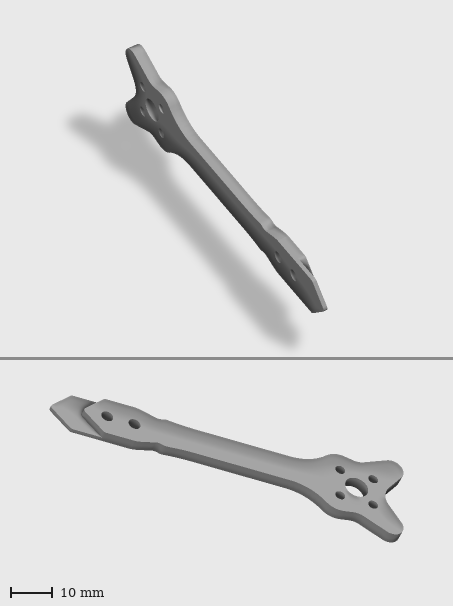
import cadquery as cq
import math

length = 90.4
thickness = 3.0
half_height = 12.2

lobe_radius = 3.0
lobe_outer_angle = 25.5
lobe_inner_angle = 55.5
lobe_middle_angle = 135
crotch_x = 4.7
crotch_radius = 5.0
waist_start = (10.4, 8.95)
waist_middle = (11.75, 8.6)
waist_end = (13.1, 8.7)
bulge_start = (15.3, 9.1)
bulge_middle = (17.8, 9.0)
bulge_end = (19.9, 7.9)
motor_x = 12.1
motor_bore = 6.0
motor_screw_diameter = 2.5
motor_screw_spacing = 8.5

beam_half_width = 4.0
beam_start_x = 29.2
beam_end_x = 53.9
shoulder_middle = (24.0, 5.1)

crest_start = (61.0, 4.4)
crest_middle = (61.7, 4.4)
crest_end = (62.4, 4.25)
dip_end = (63.9, 4.1)
tail_round_start = (67.0, 5.1)

tail_half_width = 5.6
tail_start_x = 69.4
tail_hole_diameter = 3.1
tail_hole_spacing = 7.05
tail_hole_x = 69.6

point_corner_length = 0.8
point_corner_drop = 0.4
point_end_half_width = 0.7
point_end_length = 0.4
tongue_thickness = 1.1
tongue_length = 7.8


def lobe_point(degrees):
    """Point on the upper lobe's round end, angle measured from +X."""
    angle = math.radians(degrees)
    return (
        lobe_radius * (1 + math.cos(angle)),
        half_height - lobe_radius * (1 - math.sin(angle)),
    )


def crotch_point(degrees):
    """Point on the crotch arc, centred on Z = 0, angle measured from +X."""
    angle = math.radians(degrees)
    return (
        crotch_x - crotch_radius * (1 - math.cos(angle)),
        crotch_radius * math.sin(angle),
    )


def upper_outline(tip_x):
    """Upper half of the arm outline, from the crotch to the tip of the point."""
    end_x = tip_x - point_end_length
    corner_half_width = tail_half_width - point_corner_drop
    corner_end_x = end_x - (corner_half_width - point_end_half_width)
    corner_start_x = corner_end_x - point_corner_length
    crotch_end_angle = 90 - lobe_inner_angle
    return (
        cq.Workplane("XZ")
        .moveTo(crotch_x, 0)
        .threePointArc(crotch_point(crotch_end_angle / 2), crotch_point(crotch_end_angle))
        .lineTo(*lobe_point(270 - lobe_inner_angle))
        .threePointArc(lobe_point(lobe_middle_angle), lobe_point(90 - lobe_outer_angle))
        .lineTo(*waist_start)
        .threePointArc(waist_middle, waist_end)
        .lineTo(*bulge_start)
        .threePointArc(bulge_middle, bulge_end)
        .threePointArc(shoulder_middle, (beam_start_x, beam_half_width))
        .lineTo(beam_end_x, beam_half_width)
        .tangentArcPoint(crest_start, relative=False)
        .threePointArc(crest_middle, crest_end)
        .tangentArcPoint(dip_end, relative=False)
        .lineTo(*tail_round_start)
        .tangentArcPoint((tail_start_x, tail_half_width), relative=False)
        .lineTo(corner_start_x, tail_half_width)
        .tangentArcPoint((corner_end_x, corner_half_width), relative=False)
        .lineTo(end_x, point_end_half_width)
        .tangentArcPoint((tip_x, 0), relative=False)
        .close()
    )


def plate(tip_x, front_y, back_y):
    """Symmetric plate with the arm outline between two Y planes."""
    half = upper_outline(tip_x).extrude(front_y - back_y).translate((0, front_y, 0))
    return half.union(half.mirror("XY")).clean()


def through_holes(points, diameter):
    """Cylinders along Y through the whole thickness."""
    return cq.Workplane("XZ").pushPoints(points).circle(diameter / 2).extrude(-thickness)


tongue_layer = plate(length, 0, tongue_thickness)
back_layer = plate(length - tongue_length, tongue_thickness, thickness)
arm = tongue_layer.union(back_layer).clean()

screw_offset = motor_screw_spacing / 2
motor_screws = [
    (motor_x + side * screw_offset, level * screw_offset)
    for side in (-1, 1)
    for level in (-1, 1)
]
arm = arm.cut(through_holes([(motor_x, 0)], motor_bore))
arm = arm.cut(through_holes(motor_screws, motor_screw_diameter))

tail_holes = [(tail_hole_x + i * tail_hole_spacing, 0) for i in range(2)]
result = arm.cut(through_holes(tail_holes, tail_hole_diameter))